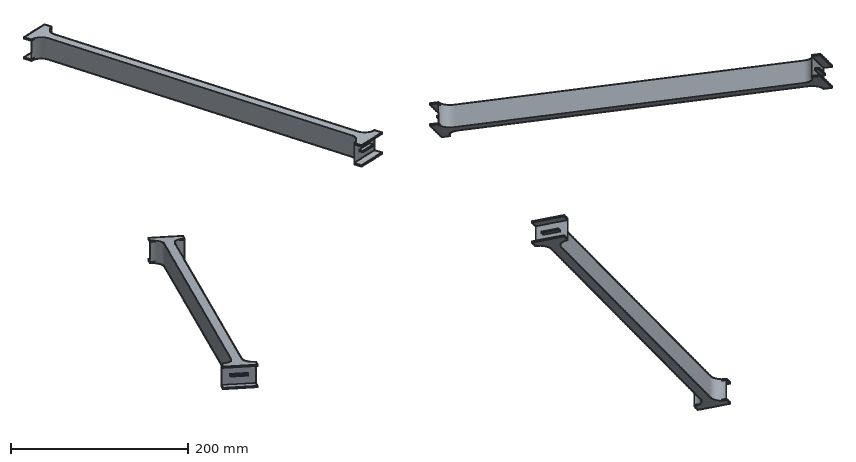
import cadquery as cq

length = 468.0
end_width = 40.0
height = 27.0

bar_width = 12.0
flare_radius = (end_width - bar_width) / 2

lip_length = 10.5
lip_thickness = 2.0
tongue_length = 5.0
tongue_width = 20.5
tongue_thickness = 2.0

half_length = length / 2
channel_floor = half_length - lip_length


def make_bar():
    """Straight bar running between the two channel floors."""
    return cq.Workplane("XY").box(2 * channel_floor, bar_width, height)


def make_flared_end():
    """Head at the +X end, blended into the bar by concave quarter rounds."""
    flare_start = channel_floor - flare_radius
    half_end = end_width / 2
    half_bar = bar_width / 2
    arc_offset = flare_radius * 0.5**0.5
    arc_x = flare_start + arc_offset
    arc_y = half_end - arc_offset
    return (
        cq.Workplane("XY")
        .workplane(offset=-height / 2)
        .moveTo(flare_start, -half_bar)
        .threePointArc((arc_x, -arc_y), (channel_floor, -half_end))
        .lineTo(half_length, -half_end)
        .lineTo(half_length, half_end)
        .lineTo(channel_floor, half_end)
        .threePointArc((arc_x, arc_y), (flare_start, half_bar))
        .close()
        .extrude(height)
    )


def make_channel():
    """Space between the lips, open at the end and at both sides."""
    return cq.Workplane("XY").box(
        lip_length, end_width, height - 2 * lip_thickness, centered=(False, True, True)
    ).translate((channel_floor, 0, 0))


def make_tongue():
    """Thin plate standing out from the channel floor."""
    return cq.Workplane("XY").box(
        tongue_length, tongue_width, tongue_thickness, centered=(False, True, True)
    ).translate((channel_floor, 0, 0))


end = make_flared_end().cut(make_channel()).union(make_tongue())
result = make_bar().union(end).union(end.mirror("YZ"))